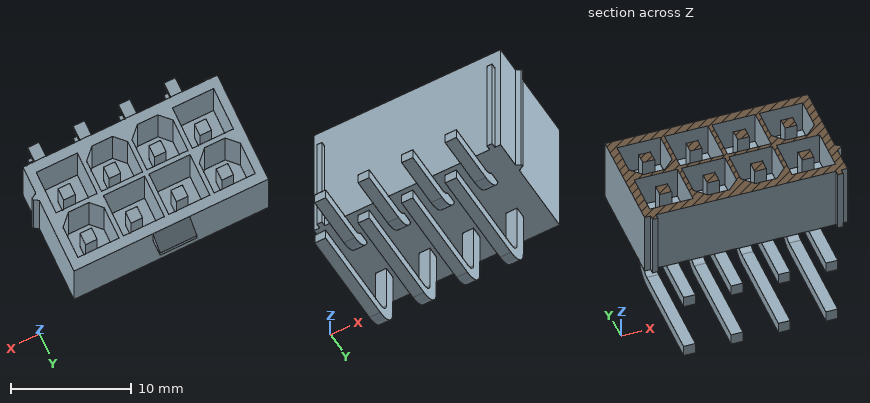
import cadquery as cq


housing_length = 18.0
housing_width = 9.8
housing_height = 13.0
housing_right = housing_length / 2
housing_front = -housing_width / 2
housing_back = housing_width / 2

pin_pitch = 4.2
column_count = 4
column_positions = [(i - (column_count - 1) / 2) * pin_pitch for i in range(column_count)]
back_row_y = pin_pitch / 2
front_row_y = -pin_pitch / 2

cavity_size = 3.8
cavity_depth = 10.0
key_chamfer = 0.95
back_row_keyed = (True, False, False, True)
front_row_keyed = (False, True, True, False)

pin_thickness = 1.07
pin_recess = 4.0
inner_bend_radius = 1.0
pin_reach = 3.6
pin_end_y = housing_front - pin_reach
pin_top_z = housing_height - pin_recess
back_pin_drop = 7.14
tail_spacing = 5.5
front_pin_drop = back_pin_drop - tail_spacing

latch_length = 3.4
latch_height = 3.0
latch_lip_height = 1.0
latch_depth = 1.4

rib_width = 0.5
rib_depth = 0.45
rib_edge_gap = 0.55
rib_top_gap = 2.15
rib_height = housing_height - rib_top_gap

rail_depth = 0.5
rail_base_width = 0.7
rail_tip_radius = 0.09


def make_housing():
    return cq.Workplane("XY").box(
        housing_length, housing_width, housing_height, centered=(True, True, False)
    )


def make_cavity(x, y, keyed):
    cavity = (
        cq.Workplane("XY")
        .box(cavity_size, cavity_size, cavity_depth, centered=(True, True, False))
    )
    if keyed:
        cavity = cavity.faces("<Y").edges("|Z").chamfer(key_chamfer)
    return cavity.translate((x, y, housing_height - cavity_depth))


def make_pin(x, y, drop):
    """Square pin that runs down at y, bends towards -Y and ends in a level tail."""
    half = pin_thickness / 2
    bend_radius = inner_bend_radius + half
    tail_z = half - drop
    path = (
        cq.Workplane("YZ", origin=(x, 0, 0))
        .moveTo(y, pin_top_z)
        .lineTo(y, tail_z + bend_radius)
        .radiusArc((y - bend_radius, tail_z), bend_radius)
        .lineTo(pin_end_y, tail_z)
    )
    section = cq.Workplane("XY", origin=(x, y, pin_top_z)).rect(pin_thickness, pin_thickness)
    return section.sweep(path)


def make_latch():
    lip_bottom = housing_height - latch_height
    return (
        cq.Workplane("YZ")
        .moveTo(housing_back, housing_height)
        .lineTo(housing_back, lip_bottom)
        .lineTo(housing_back + latch_depth, lip_bottom)
        .lineTo(housing_back + latch_depth, lip_bottom + latch_lip_height)
        .close()
        .extrude(latch_length / 2, both=True)
    )


def make_rib(side):
    x = side * (housing_right - rib_edge_gap - rib_width / 2)
    return (
        cq.Workplane("XY")
        .box(rib_width, rib_depth, rib_height, centered=(True, False, False))
        .translate((x, housing_front - rib_depth, 0))
    )


def make_side_rail():
    half_base = rail_base_width / 2
    tip_x = housing_right + rail_depth
    round_start_x = tip_x - rail_tip_radius
    return (
        cq.Workplane("XY")
        .moveTo(housing_right, front_row_y - half_base)
        .lineTo(round_start_x, front_row_y - rail_tip_radius)
        .threePointArc((tip_x, front_row_y), (round_start_x, front_row_y + rail_tip_radius))
        .lineTo(housing_right, front_row_y + half_base)
        .close()
        .extrude(housing_height)
    )


result = make_housing().union(make_latch()).union(make_side_rail())

for side in (-1, 1):
    result = result.union(make_rib(side))

rows = (
    (back_row_y, back_row_keyed, back_pin_drop),
    (front_row_y, front_row_keyed, front_pin_drop),
)
for row_y, keyed_columns, drop in rows:
    for x, keyed in zip(column_positions, keyed_columns):
        result = result.cut(make_cavity(x, row_y, keyed))
        result = result.union(make_pin(x, row_y, drop))